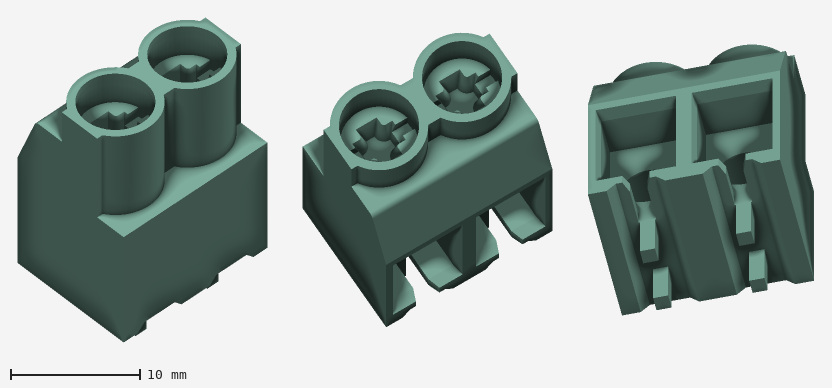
import cadquery as cq
import math

pole_count = 2
pole_pitch = 7.62
housing_width = pole_count * pole_pitch
housing_depth = 12.0
housing_height = 20.0
front_wall_height = 11.5
front_shelf_height = 16.8
front_shelf_x = 2.05
front_edge_radius = 0.5
rear_shelf_height = 11.45

turret_x = 7.0
turret_diameter = pole_pitch
neck_depth = 4.0
bore_diameter = 6.2
bore_depth = 5.0

screw_diameter = 6.0
screw_top_z = housing_height - 3.0
slot_width = 1.1
cross_length = 3.68
cross_arm_width = 1.92
cross_corner_radius = 0.28
cross_wall_inset = 0.575
cross_depth = 1.8
slot_depth = 1.0

entry_depth = 4.05
entry_lead_in = 1.0
entry_width = 5.96
entry_floor_z = 1.8
entry_ceiling_z = 10.45
entry_flare = 0.22
wire_hole_diameter = 4.0
wire_hole_depth = 4.0
wire_hole_z = 5.25

floor_gap_width = 1.4
floor_gap_flare = 0.38

groove_height = 0.72
groove_top_width = 3.2
groove_bottom_width = groove_top_width + 2 * groove_height

pin_size = 1.2
pin_length = 3.0
pin_centers_x = (entry_depth + pin_size / 2, 9.3)

pole_centers_y = [(i - (pole_count - 1) / 2) * pole_pitch for i in range(pole_count)]


def make_housing():
    """Stepped block with a sloped, edge-rounded front and the neck between the turrets."""
    neck_front_x = turret_x - neck_depth / 2
    neck_rear_x = turret_x + neck_depth / 2
    profile = [
        (0, 0),
        (housing_depth, 0),
        (housing_depth, rear_shelf_height),
        (neck_rear_x, rear_shelf_height),
        (neck_rear_x, housing_height),
        (neck_front_x, housing_height),
        (neck_front_x, front_shelf_height),
        (front_shelf_x, front_shelf_height),
        (0, front_wall_height),
    ]
    block = cq.Workplane("XZ").polyline(profile).close().extrude(housing_width / 2, both=True)
    front_edge = cq.selectors.NearestToPointSelector((front_shelf_x, 0, front_shelf_height))
    return block.edges(front_edge).fillet(front_edge_radius)


def make_turret(y):
    """Round collar that rises from the rear shelf level to the top."""
    return (
        cq.Workplane("XY", origin=(turret_x, y, rear_shelf_height))
        .circle(turret_diameter / 2)
        .extrude(housing_height - rear_shelf_height)
    )


def make_bore(y):
    """Blind bore that holds the clamping screw."""
    return (
        cq.Workplane("XY", origin=(turret_x, y, housing_height))
        .circle(bore_diameter / 2)
        .extrude(-bore_depth)
    )


def cross_outline(plane):
    """Closed outline of a four-armed cross with rounded inner corners."""
    arm_end = cross_length / 2
    arm_half = cross_arm_width / 2
    round_end = arm_half + cross_corner_radius
    wire = plane.moveTo(arm_end, -arm_half)
    for quarter in range(4):
        angle = quarter * math.pi / 2
        corner, round_start, round_finish, next_arm = [
            (x * math.cos(angle) - y * math.sin(angle), x * math.sin(angle) + y * math.cos(angle))
            for x, y in (
                (arm_end, arm_half),
                (round_end, arm_half),
                (arm_half, round_end),
                (arm_half, arm_end),
            )
        ]
        wire = wire.lineTo(*corner).lineTo(*round_start)
        wire = wire.radiusArc(round_finish, cross_corner_radius)
        wire = wire.lineTo(*next_arm)
    return wire.close()


def make_screw(y):
    """Screw head with a straight slot along Y and a tapered cross recess."""
    head_height = screw_top_z - (housing_height - bore_depth)
    top_plane = cq.Workplane("XY", origin=(turret_x, y, screw_top_z))
    head = top_plane.circle(screw_diameter / 2).extrude(-head_height)
    slot = top_plane.rect(slot_width, screw_diameter).extrude(-slot_depth)

    wall_taper = math.degrees(math.atan(cross_wall_inset / cross_depth))
    cross = cross_outline(top_plane).extrude(-cross_depth, taper=wall_taper)
    return head.cut(slot).cut(cross)


def make_wire_entry(y):
    """Rectangular pocket with a flared mouth, and a round wire hole in its back wall."""
    height = entry_ceiling_z - entry_floor_z
    mid_z = (entry_ceiling_z + entry_floor_z) / 2
    pocket = (
        cq.Workplane("YZ", origin=(0, y, mid_z))
        .rect(entry_width, height)
        .extrude(entry_depth)
    )
    mouth = (
        cq.Workplane("YZ", origin=(0, y, mid_z))
        .rect(entry_width + 2 * entry_flare, height + 2 * entry_flare)
        .workplane(offset=entry_lead_in)
        .rect(entry_width, height)
        .loft(ruled=True)
    )
    wire_hole = (
        cq.Workplane("YZ", origin=(entry_depth, y, wire_hole_z))
        .circle(wire_hole_diameter / 2)
        .extrude(wire_hole_depth)
    )
    return pocket.union(mouth).union(wire_hole)


def make_floor_gap(y):
    """Gap through the entry floor that widens toward the front."""
    half = floor_gap_width / 2
    front_half = half + floor_gap_flare
    outline = [
        (0, -front_half),
        (entry_lead_in, -half),
        (entry_depth, -half),
        (entry_depth, half),
        (entry_lead_in, half),
        (0, front_half),
    ]
    return cq.Workplane("XY", origin=(0, y, 0)).polyline(outline).close().extrude(entry_floor_z)


def make_groove(y):
    """Trapezoidal groove along X in the underside."""
    outline = [
        (-groove_bottom_width / 2, 0),
        (groove_bottom_width / 2, 0),
        (groove_top_width / 2, groove_height),
        (-groove_top_width / 2, groove_height),
    ]
    return cq.Workplane("YZ", origin=(0, y, 0)).polyline(outline).close().extrude(housing_depth)


def make_pins(y):
    """Square solder pins that start at the groove ceiling and reach below the housing."""
    return (
        cq.Workplane("XY", origin=(0, y, groove_height))
        .pushPoints([(x, 0) for x in pin_centers_x])
        .rect(pin_size, pin_size)
        .extrude(-(groove_height + pin_length))
    )


result = make_housing()
for pole_y in pole_centers_y:
    result = result.union(make_turret(pole_y))
for pole_y in pole_centers_y:
    result = result.cut(make_bore(pole_y))
    result = result.cut(make_wire_entry(pole_y))
    result = result.cut(make_floor_gap(pole_y))
    result = result.cut(make_groove(pole_y))
    result = result.union(make_screw(pole_y))
    result = result.union(make_pins(pole_y))